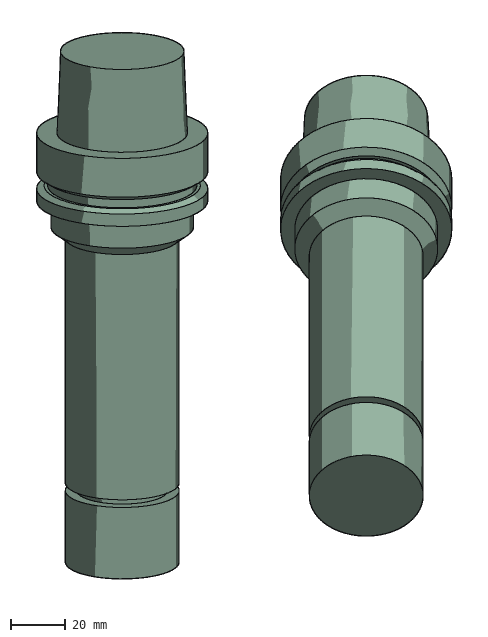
import cadquery as cq

total_height = 197.0

taper_top_diameter = 45.5
taper_base_diameter = 48.0
flange_diameter = 63.0
groove_diameter = 55.0
groove_shoulder_diameter = 57.5
collar_diameter = 52.6
shank_diameter = 42.0
neck_diameter = 33.5
nut_diameter = shank_diameter

taper_length = 31.5
flange_upper_length = 15.0
groove_upper_bevel = 1.8
groove_floor_length = 3.5
groove_lower_bevel = 1.2
flange_lower_length = 4.7
collar_length = 10.0
collar_bevel = 4.1
neck_length = 3.0
nut_length = 27.5

flange_top = total_height - taper_length
groove_top = flange_top - flange_upper_length
groove_floor_top = groove_top - groove_upper_bevel
groove_floor_bottom = groove_floor_top - groove_floor_length
groove_bottom = groove_floor_bottom - groove_lower_bevel
flange_bottom = groove_bottom - flange_lower_length
collar_bottom = flange_bottom - collar_length
shank_top = collar_bottom - collar_bevel
neck_top = nut_length + neck_length


def make_holder():
    """Turned tool holder: taper, flange with a shouldered groove, collar, shank and neck."""
    stations = [
        (taper_top_diameter, total_height),
        (taper_base_diameter, flange_top),
        (flange_diameter, flange_top),
        (flange_diameter, groove_top),
        (groove_shoulder_diameter, groove_floor_top),
        (groove_diameter, groove_floor_top),
        (groove_diameter, groove_floor_bottom),
        (groove_shoulder_diameter, groove_floor_bottom),
        (flange_diameter, groove_bottom),
        (flange_diameter, flange_bottom),
        (collar_diameter, flange_bottom),
        (collar_diameter, collar_bottom),
        (shank_diameter, shank_top),
        (shank_diameter, neck_top),
        (neck_diameter, neck_top),
        (neck_diameter, nut_length),
    ]
    half_profile = [(diameter / 2, z) for diameter, z in stations]
    return (
        cq.Workplane("XZ")
        .moveTo(0, total_height)
        .polyline(half_profile, includeCurrent=True)
        .lineTo(0, nut_length)
        .close()
        .revolve(360, (0, 0, 0), (0, 1, 0))
    )


def make_nut():
    """Plain clamping nut that meets the lower face of the neck."""
    return cq.Workplane("XY").circle(nut_diameter / 2).extrude(nut_length)


holder = make_holder()
nut = make_nut()

result = cq.Compound.makeCompound([holder.val(), nut.val()])